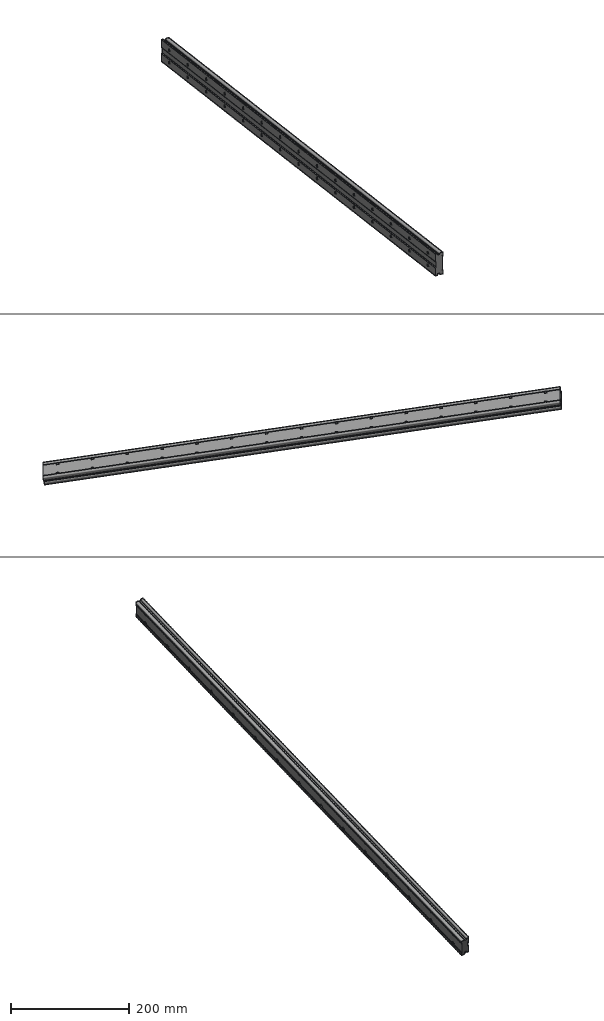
import cadquery as cq

length = 890.0
thickness = 15.0
height = 42.0
front_y = -thickness / 2
back_y = thickness / 2
top_z = height / 2

groove_width = 3.3
groove_depth = 3.0
groove_center_y = -1.1
groove_lip_radius = 2.25

back_edge_radius = 1.0

channel_floor_width = 9.0
channel_depth = 1.5
channel_mouth_width = channel_floor_width + 2 * channel_depth

recess_width = 27.5
recess_depth = 1.0

hole_diameter = 4.5
hole_pitch = 60.0
holes_per_row = 15
hole_row_spacing = 24.0


def make_bar():
    bar = cq.Workplane("XY").box(length, thickness, height)
    return bar.edges("|X and >Y").fillet(back_edge_radius)


def cut_edge_grooves(body):
    groove = cq.Workplane("XY").box(length, groove_width, groove_depth)
    for side in (1, -1):
        groove_center_z = side * (top_z - groove_depth / 2)
        body = body.cut(groove.translate((0, groove_center_y, groove_center_z)))
        for wall in (1, -1):
            lip = (0, groove_center_y + wall * groove_width / 2, side * top_z)
            lip_edge = cq.selectors.NearestToPointSelector(lip)
            body = body.edges(lip_edge).fillet(groove_lip_radius)
    return body


def cut_front_channel(body):
    floor_y = front_y + channel_depth
    channel = (
        cq.Workplane("YZ")
        .moveTo(front_y, -channel_mouth_width / 2)
        .lineTo(floor_y, -channel_floor_width / 2)
        .lineTo(floor_y, channel_floor_width / 2)
        .lineTo(front_y, channel_mouth_width / 2)
        .close()
        .extrude(length / 2, both=True)
    )
    return body.cut(channel)


def cut_back_recess(body):
    recess = cq.Workplane("XY").box(length, recess_depth, recess_width)
    return body.cut(recess.translate((0, back_y - recess_depth / 2, 0)))


def drill_holes(body):
    holes = (
        cq.Workplane("XZ")
        .rarray(hole_pitch, hole_row_spacing, holes_per_row, 2)
        .circle(hole_diameter / 2)
        .extrude(thickness, both=True)
    )
    return body.cut(holes)


result = make_bar()
result = cut_edge_grooves(result)
result = cut_front_channel(result)
result = cut_back_recess(result)
result = drill_holes(result)